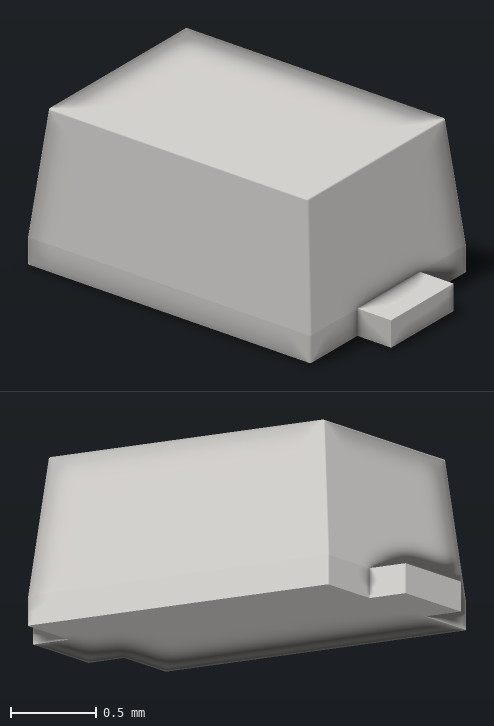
import cadquery as cq
import math

overall_length = 2.6
body_length = 2.1
body_width = 1.5
body_height = 1.02

base_height = 0.18
draft_angle = 6.0
edge_radius = 0.015

lead_width = 0.6
lead_height = base_height
lead_length = (overall_length - body_length) / 2

mark_length = 0.25
mark_depth = 0.01

taper_inset = (body_height - base_height) * math.tan(math.radians(draft_angle))
round_inset = edge_radius * math.tan(math.radians((90 - draft_angle) / 2))
flat_length = body_length - 2 * (taper_inset + round_inset)
flat_width = body_width - 2 * (taper_inset + round_inset)


def make_mark():
    """Thin strip across the flat top face at its -X end."""
    return (
        cq.Workplane("XY")
        .box(mark_length, flat_width, mark_depth, centered=(False, True, False))
        .translate((-flat_length / 2, 0, body_height - mark_depth))
    )


def make_housing(mark):
    """Straight base and tapered top with rounded edges, recessed for the mark."""
    base = cq.Workplane("XY").rect(body_length, body_width).extrude(base_height)
    housing = (
        base.faces(">Z").workplane()
        .rect(body_length, body_width)
        .extrude(body_height - base_height, taper=draft_angle)
    )
    corner_edges = "not(|X or |Y)"
    housing = housing.edges(f"({corner_edges}) or (>Z)").fillet(edge_radius)
    return housing.cut(mark)


def make_lead(side):
    """Flat lead on the +X (side = 1) or -X (side = -1) end wall."""
    return (
        cq.Workplane("XY")
        .box(lead_length, lead_width, lead_height, centered=(True, True, False))
        .translate((side * (body_length + lead_length) / 2, 0, 0))
    )


mark = make_mark()
housing = make_housing(mark)
leads = [make_lead(side) for side in (-1, 1)]

result = cq.Compound.makeCompound([housing.val(), mark.val(), *[lead.val() for lead in leads]])